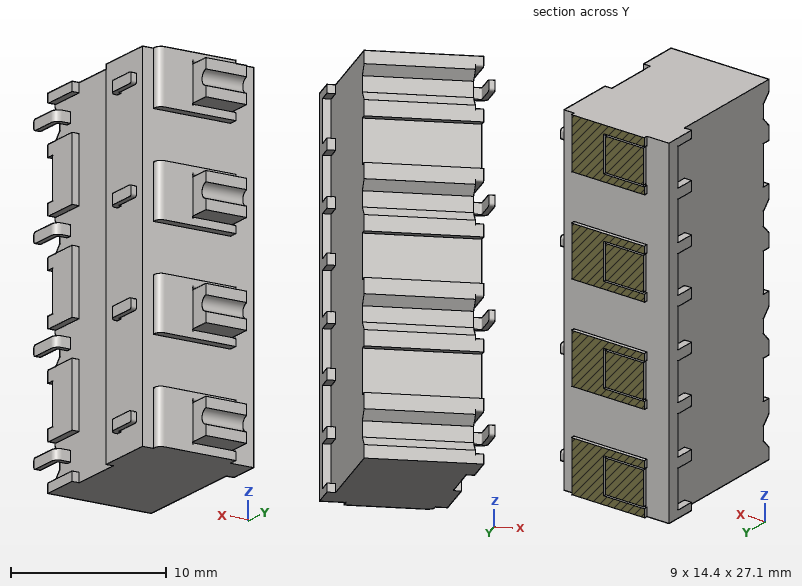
import cadquery as cq
import math

height = 27.05
pole_count = 4
pole_pitch = 7.63
first_pole_z = (height - (pole_count - 1) * pole_pitch) / 2
pole_heights = [first_pole_z + i * pole_pitch for i in range(pole_count)]

rail_depth = 0.57
housing_right = 8.42
housing_depth = 11.55
rail_width = 1.0
rib_length = 2.44
rib_inner_half = 1.5
rib_outer_half = 2.27

mouth_radius = 0.14

front_cut_depth = 0.6
groove_mouth_half = 1.2
groove_floor_half = 0.55

side_cut_depth = 0.55
side_floor_x = housing_right - side_cut_depth
side_notch_start = 2.98
side_notch_end = 7.12
recess_half = 1.38

block_left = 1.75
block_right = 7.6
block_half = 2.0
block_rise = 0.65
block_corner_radius = 0.45
lever_left = 1.85
lever_length = 3.08
lever_half = 1.33
lever_rise = 2.08
lever_notch_radius = 0.57
lever_notch_depth = 0.45
lever_gap = 0.08

pin_outer_x = 9.0
pin_thickness = 0.4
pin_width = 0.78
pin_inner_radius = 0.08
pin_tip_radius = 0.2
front_pin_tip = -0.73
front_pin_leg = 1.92
rear_pin_tip = 11.12
rear_pin_leg = 8.5
pin_embed = 0.55


def box(x_range, y_range, z_range):
    """Box spanning the given (low, high) ranges."""
    size = [high - low for low, high in (x_range, y_range, z_range)]
    corner = (x_range[0], y_range[0], z_range[0])
    return cq.Workplane("XY").box(*size, centered=False).translate(corner)


def around(z, half):
    """Z range centred on z."""
    return (z - half, z + half)


def housing():
    """Main block with the back rail and its ribs on the -X side."""
    body = box((rail_depth, housing_right), (0, housing_depth), (0, height))
    body = body.union(box((0, rail_depth), (housing_depth - rail_width, housing_depth), (0, height)))
    rib_y = (housing_depth - rib_length, housing_depth)
    for z in pole_heights:
        low_rib = (max(z - rib_outer_half, 0), z - rib_inner_half)
        high_rib = (z + rib_inner_half, min(z + rib_outer_half, height))
        for rib_z in (low_rib, high_rib):
            body = body.union(box((0, rail_depth), rib_y, rib_z))
    return body


def front_groove(z):
    """Trapezoidal groove across the front face at one pole."""
    return (
        cq.Workplane("YZ")
        .moveTo(0, z - groove_mouth_half)
        .lineTo(front_cut_depth, z - groove_floor_half)
        .lineTo(front_cut_depth, z + groove_floor_half)
        .lineTo(0, z + groove_mouth_half)
        .close()
        .extrude(housing_right)
    )


def front_slot(z):
    """Rectangular slot across the front face between the pole at z and the next one up."""
    slot_z = (z + rib_outer_half, z + pole_pitch - rib_outer_half)
    return box((0, housing_right), (0, front_cut_depth), slot_z)


def round_mouth_slot(x_range, z, mouth_y, floor_y, half):
    """Slot cutter along X, centred on z, whose mouth edges are rounded over."""
    inward = 1 if floor_y > mouth_y else -1
    wall_y = mouth_y + inward * mouth_radius
    arc_middle_y = mouth_y + inward * mouth_radius * (1 - math.sqrt(0.5))
    arc_middle_half = half + mouth_radius * (1 - math.sqrt(0.5))
    mouth_half = half + mouth_radius
    x_start, x_end = x_range
    return (
        cq.Workplane("YZ", origin=(x_start, 0, z))
        .moveTo(mouth_y, -mouth_half)
        .threePointArc((arc_middle_y, -arc_middle_half), (wall_y, -half))
        .lineTo(floor_y, -half)
        .lineTo(floor_y, half)
        .lineTo(wall_y, half)
        .threePointArc((arc_middle_y, arc_middle_half), (mouth_y, mouth_half))
        .close()
        .extrude(x_end - x_start)
    )


def pin_recess(z):
    """Recess on the pin side, from the front face to the side notch, that clears the front pin."""
    return round_mouth_slot((side_floor_x, housing_right), z, 0, side_notch_start, recess_half)


def raised_block(z):
    """Block on the back face with a rounded corner and a pocket around the lever."""
    bottom = 0 if z == pole_heights[0] else z - block_half
    top = height if z == pole_heights[-1] else z + block_half
    block_top_y = housing_depth + block_rise
    block = box((block_left, block_right), (housing_depth, block_top_y), (bottom, top))
    block = block.edges(">X and >Y").fillet(block_corner_radius)
    pocket_x = (block_left, lever_left + lever_length + lever_gap)
    return block.cut(round_mouth_slot(pocket_x, z, block_top_y, housing_depth, lever_half + lever_gap))


def lever(z):
    """Push lever with a round notch across its end."""
    lever_x = (lever_left, lever_left + lever_length)
    lever_end = housing_depth + lever_rise
    body = box(lever_x, (housing_depth, lever_end), around(z, lever_half))
    notch_centre_y = lever_end - lever_notch_depth + lever_notch_radius
    notch = cq.Workplane("YZ").center(notch_centre_y, z).circle(lever_notch_radius).extrude(housing_right)
    return body.cut(notch)


def pin(z, tip_y, leg_y):
    """L-shaped pin: a leg out of the housing along X, bent to run along Y to its tip."""
    outward = 1 if tip_y > leg_y else -1
    inner_leg_y = leg_y + outward * pin_thickness
    leg_start = side_floor_x - pin_embed
    inner_x = pin_outer_x - pin_thickness
    bent = (
        cq.Workplane("XY", origin=(0, 0, z - pin_width / 2))
        .moveTo(leg_start, leg_y)
        .lineTo(pin_outer_x, leg_y)
        .lineTo(pin_outer_x, tip_y)
        .lineTo(inner_x, tip_y)
        .lineTo(inner_x, inner_leg_y)
        .lineTo(leg_start, inner_leg_y)
        .close()
        .extrude(pin_width)
    )
    bend_inside = cq.selectors.NearestToPointSelector((inner_x, inner_leg_y, z))
    bend_outside = cq.selectors.NearestToPointSelector((pin_outer_x, leg_y, z))
    bent = bent.edges("|Z").edges(bend_inside).fillet(pin_inner_radius)
    bent = bent.edges("|Z").edges(bend_outside).fillet(pin_inner_radius + pin_thickness)
    tip_face = ">Y" if outward > 0 else "<Y"
    return bent.faces(tip_face).edges("|X").fillet(pin_tip_radius)


result = housing()
result = result.cut(box((side_floor_x, housing_right), (side_notch_start, side_notch_end), (0, height)))
for pole_z in pole_heights[:-1]:
    result = result.cut(front_slot(pole_z))
for pole_z in pole_heights:
    result = result.cut(front_groove(pole_z)).cut(pin_recess(pole_z))
    result = result.union(raised_block(pole_z)).union(lever(pole_z))
    result = result.union(pin(pole_z, front_pin_tip, front_pin_leg))
    result = result.union(pin(pole_z, rear_pin_tip, rear_pin_leg))